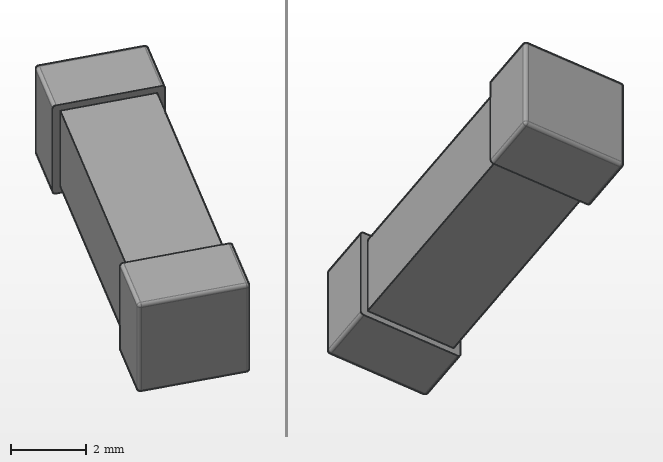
import cadquery as cq

total_length = 10.1
cap_width = 3.1
cap_length = 1.75
cap_fillet = 0.1
body_width = 2.67

body_length = total_length - 2 * cap_length
cap_center = (total_length - cap_length) / 2


def make_body():
    """Plain square bar that fills the space between the two end caps."""
    return cq.Workplane("XY").box(body_length, body_width, body_width)


def make_end_cap(side):
    """Square cap at one end (side is -1 or +1), rounded except around its inner face."""
    inner_face = "<X" if side > 0 else ">X"
    cap = cq.Workplane("XY").box(cap_length, cap_width, cap_width)
    cap = cap.edges(f"not({inner_face})").fillet(cap_fillet)
    return cap.translate((side * cap_center, 0, 0))


body = make_body()
end_caps = [make_end_cap(side) for side in (-1, 1)]

result = cq.Compound.makeCompound([body.val(), *[cap.val() for cap in end_caps]])